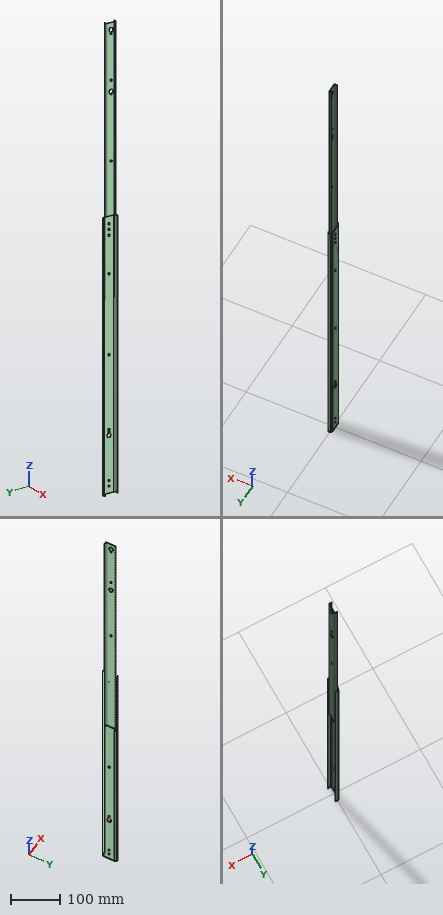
import cadquery as cq
import math

sheet = 1.8
rail_length = 610.0
extended_length = 1039.35
extension = extended_length - rail_length
centre_z = rail_length / 2
side_hole_offset = 178.0

outer_width = 35.3
outer_depth = 9.6
outer_web_width = 24.4
shoulder_depth = 1.6
shoulder_width = 32.2
flange_crest_depth = (shoulder_depth + outer_depth) / 2

inner_width = 24.8
inner_depth = 7.0
inner_bend_radius = 2.4

round_hole_diameter = 4.5
small_hole_diameter = 3.5
keyhole_diameter = 9.5
keyhole_slot_width = 4.0
row_pitch = 12.7
top_row_offset = 16.5
top_row_count = 3
bottom_row_offset = 15.5
bottom_row_count = 2
outer_keyhole_offset = 0.5
outer_keyhole_reach = 13.0
end_keyhole_offset = 16.0
side_keyhole_gap = 25.0
end_keyhole_reach = 8.5
side_keyhole_reach = 5.0


def round_hole(z, diameter):
    """Cylinder along X at height z, reaching through the whole depth of the slide."""
    return cq.Workplane("YZ").center(0, z).circle(diameter / 2).extrude(outer_depth)


def keyhole(z, slot_reach):
    """Round opening at z with a slot ending slot_reach away: upwards if positive, else downwards."""
    slot = (
        cq.Workplane("YZ")
        .center(0, z + slot_reach / 2)
        .slot2D(abs(slot_reach) + keyhole_slot_width, keyhole_slot_width, 90)
        .extrude(outer_depth)
    )
    return round_hole(z, keyhole_diameter).union(slot)


def outer_outline(sheet_inset):
    """Outside of the outer rail's section, or its inside when moved in by the sheet thickness."""
    slope = math.atan2(shoulder_depth, (shoulder_width - outer_web_width) / 2)
    web = outer_web_width / 2 - sheet_inset * math.tan(slope / 2)
    shoulder = shoulder_width / 2 - sheet_inset * math.sin(slope)
    shoulder_x = shoulder_depth + sheet_inset * math.cos(slope)
    crest = outer_width / 2 - sheet_inset
    tip = shoulder_width / 2 - sheet_inset
    return (
        cq.Workplane("XY")
        .moveTo(sheet_inset, -web)
        .lineTo(sheet_inset, web)
        .lineTo(shoulder_x, shoulder)
        .threePointArc((flange_crest_depth, crest), (outer_depth, tip))
        .lineTo(outer_depth, -tip)
        .threePointArc((flange_crest_depth, -crest), (shoulder_x, -shoulder))
        .close()
    )


def make_outer_rail():
    rail = outer_outline(0).extrude(rail_length).cut(outer_outline(sheet).extrude(rail_length))
    for i in range(top_row_count):
        rail = rail.cut(round_hole(rail_length - top_row_offset - i * row_pitch, round_hole_diameter))
    for i in range(bottom_row_count):
        rail = rail.cut(round_hole(bottom_row_offset + i * row_pitch, small_hole_diameter))
    for z in (centre_z, centre_z + side_hole_offset):
        rail = rail.cut(round_hole(z, round_hole_diameter))
    keyhole_z = centre_z - side_hole_offset + outer_keyhole_offset
    return rail.cut(keyhole(keyhole_z, outer_keyhole_reach))


def inner_block(depth, width, bend_radius):
    """Bar starting at the open side of the inner rail, with its two +X corners rounded."""
    return (
        cq.Workplane("XY")
        .center(outer_depth - inner_depth + depth / 2, 0)
        .rect(depth, width)
        .extrude(rail_length)
        .edges("|Z and >X")
        .fillet(bend_radius)
    )


def make_inner_rail():
    channel = inner_block(inner_depth - sheet, inner_width - 2 * sheet, inner_bend_radius - sheet)
    rail = inner_block(inner_depth, inner_width, inner_bend_radius).cut(channel)
    for z in (centre_z, centre_z + side_hole_offset):
        rail = rail.cut(round_hole(z, round_hole_diameter))
    rail = rail.cut(keyhole(rail_length - end_keyhole_offset, -end_keyhole_reach))
    rail = rail.cut(keyhole(centre_z + side_hole_offset - side_keyhole_gap, -side_keyhole_reach))
    return rail.translate((0, 0, extension))


outer_rail = make_outer_rail()
inner_rail = make_inner_rail()

result = cq.Compound.makeCompound([outer_rail.val(), inner_rail.val()])